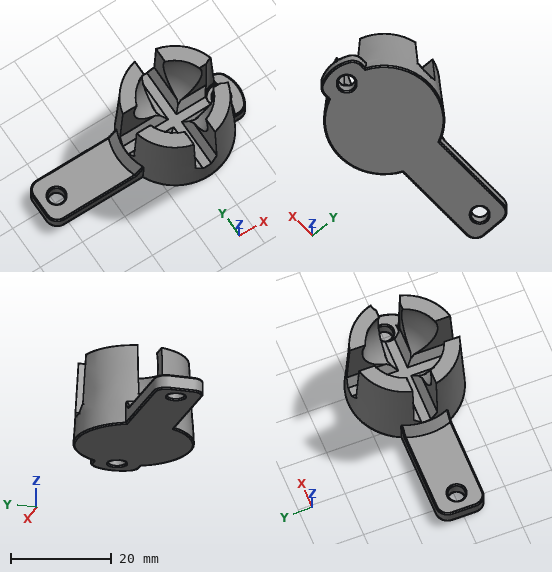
import cadquery as cq
import math

total_length = 47.15
tab_reach = 15.15
arm_reach = total_length - tab_reach
edge_chamfer = 0.3

cup_height = 17.0
cup_base_radius = 11.95
cup_top_radius = 11.0

slot_width = 5.0
slot_floor_width = 2.0
slot_floor_z = 5.0
slot_bevel = (slot_width - slot_floor_width) / 2
cavity_radius = 8.4
cavity_center_z = 13.95

strip_width = 10.0
strip_thickness = 3.0
corner_radius = 2.5
tab_end_radius = 8.0
arm_ramp_height = 1.85
tab_ramp_height = 0.45
arm_toe_radius = 13.5
tab_toe_radius = 12.1
inner_edge_limit = 14.15

hole_diameter = 3.5
arm_hole_x = -28.0
tab_hole_x = 11.0
clearance_radius = 3.15


def make_cup():
    return (
        cq.Workplane("XZ")
        .moveTo(0, 0)
        .lineTo(cup_base_radius - edge_chamfer, 0)
        .lineTo(cup_base_radius, edge_chamfer)
        .lineTo(cup_top_radius, cup_height)
        .lineTo(0, cup_height)
        .close()
        .revolve(360, (0, 0, 0), (0, 1, 0))
    )


def make_strip(outline, ramp_height, toe_radius):
    """Flat strip with a 45 degree conical ramp that rises toward the cup."""
    top_z = strip_thickness + ramp_height
    envelope = (
        cq.Workplane("XZ")
        .moveTo(0, 0)
        .lineTo(total_length, 0)
        .lineTo(total_length, strip_thickness)
        .lineTo(toe_radius, strip_thickness)
        .lineTo(toe_radius - ramp_height, top_z)
        .lineTo(0, top_z)
        .close()
        .revolve(360, (0, 0, 0), (0, 1, 0))
    )
    strip = outline.intersect(envelope)
    across_strip = cq.selectors.BoxSelector(
        (-inner_edge_limit, -edge_chamfer, -edge_chamfer),
        (inner_edge_limit, edge_chamfer, cup_height),
    )
    outer_edges = cq.selectors.StringSyntaxSelector("not |Z") - across_strip
    return strip.edges(outer_edges).chamfer(edge_chamfer)


def make_arm():
    outline = (
        cq.Workplane("XY")
        .box(arm_reach, strip_width, cup_height, centered=(False, True, False))
        .translate((-arm_reach, 0, 0))
        .edges("|Z and <X")
        .fillet(corner_radius)
    )
    return make_strip(outline, arm_ramp_height, arm_toe_radius)


def make_tab():
    half_width = strip_width / 2
    end_center_x = tab_reach - tab_end_radius
    end_corner_x = end_center_x + math.sqrt(tab_end_radius**2 - half_width**2)
    outline = (
        cq.Workplane("XY")
        .moveTo(0, -half_width)
        .lineTo(end_corner_x, -half_width)
        .threePointArc((tab_reach, 0), (end_corner_x, half_width))
        .lineTo(0, half_width)
        .close()
        .extrude(cup_height)
        .edges("|Z")
        .edges(">X")
        .fillet(corner_radius)
    )
    return make_strip(outline, tab_ramp_height, tab_toe_radius)


def make_slot():
    """Slot along X with a narrow floor and 45 degree bevels up to its full width."""
    bevel_top_z = slot_floor_z + slot_bevel
    return (
        cq.Workplane("YZ")
        .moveTo(-slot_floor_width / 2, slot_floor_z)
        .lineTo(slot_floor_width / 2, slot_floor_z)
        .lineTo(slot_width / 2, bevel_top_z)
        .lineTo(slot_width / 2, cup_height)
        .lineTo(-slot_width / 2, cup_height)
        .lineTo(-slot_width / 2, bevel_top_z)
        .close()
        .extrude(cup_base_radius * 2, both=True)
    )


def make_cavity():
    return cq.Workplane("XY").sphere(cavity_radius).translate((0, 0, cavity_center_z))


def make_clearance():
    """Space above the tab hole, with a chamfered foot."""
    return (
        cq.Workplane("XY")
        .workplane(offset=strip_thickness)
        .center(tab_hole_x, 0)
        .circle(clearance_radius)
        .extrude(cup_height)
        .faces("<Z")
        .edges()
        .chamfer(edge_chamfer)
    )


def make_hole(x):
    """Through hole chamfered at both ends."""
    hole_radius = hole_diameter / 2
    rim_radius = hole_radius + edge_chamfer
    return (
        cq.Workplane("XZ")
        .moveTo(0, 0)
        .lineTo(rim_radius, 0)
        .lineTo(hole_radius, edge_chamfer)
        .lineTo(hole_radius, strip_thickness - edge_chamfer)
        .lineTo(rim_radius, strip_thickness)
        .lineTo(0, strip_thickness)
        .close()
        .revolve(360, (0, 0, 0), (0, 1, 0))
        .translate((x, 0, 0))
    )


result = make_cup().union(make_arm()).union(make_tab())
for slot_angle in (0, 90):
    result = result.cut(make_slot().rotate((0, 0, 0), (0, 0, 1), slot_angle))
result = result.cut(make_cavity()).cut(make_clearance())
for hole_x in (arm_hole_x, tab_hole_x):
    result = result.cut(make_hole(hole_x))